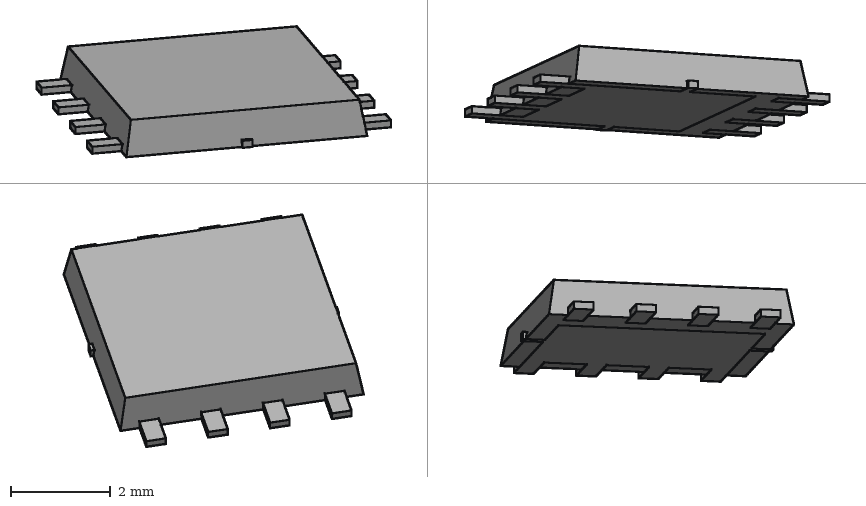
import cadquery as cq

overall_x = 5.1
overall_y = 6.2
height = 0.74

housing_side = 5.0
housing_top_side = 4.74

metal_thickness = 0.15
lead_count = 4
lead_width = 0.4
lead_pitch = 1.27
lead_inner_length = 0.495
tie_bar_width = 0.205

pad_to_lead_gap = 0.495
pad_width = (lead_count - 1) * lead_pitch + lead_width
free_lead_inner_y = -housing_side / 2 + lead_inner_length
pad_front_y = free_lead_inner_y + pad_to_lead_gap
pad_back_y = housing_side / 2 - lead_inner_length

lead_positions = [(i - (lead_count - 1) / 2) * lead_pitch for i in range(lead_count)]


def flat_bar(center_x, width, front_y, back_y):
    """Sheet-metal rectangle resting on the base plane."""
    return (
        cq.Workplane("XY")
        .box(width, back_y - front_y, metal_thickness, centered=(True, False, False))
        .translate((center_x, front_y, 0))
    )


def make_free_lead(center_x):
    """Separate lead leaving the housing on the -Y side."""
    return flat_bar(center_x, lead_width, -overall_y / 2, free_lead_inner_y)


def make_drain():
    """Pad with its leads on the +Y side and a tie bar crossing to both X sides."""
    drain = flat_bar(0, pad_width, pad_front_y, pad_back_y)
    for x in lead_positions:
        drain = drain.union(flat_bar(x, lead_width, pad_back_y, overall_y / 2))
    tie_bar = flat_bar(0, overall_x, -tie_bar_width / 2, tie_bar_width / 2)
    return drain.union(tie_bar)


def make_housing(metal_bodies):
    """Tapered block with recesses that fit the metal bodies."""
    housing = (
        cq.Workplane("XY")
        .rect(housing_side, housing_side)
        .workplane(offset=height)
        .rect(housing_top_side, housing_top_side)
        .loft(ruled=True)
    )
    for body in metal_bodies:
        housing = housing.cut(body)
    return housing


free_leads = [make_free_lead(x) for x in lead_positions]
drain = make_drain()
housing = make_housing([*free_leads, drain])

result = cq.Compound.makeCompound(
    [housing.val(), drain.val(), *[lead.val() for lead in free_leads]]
)